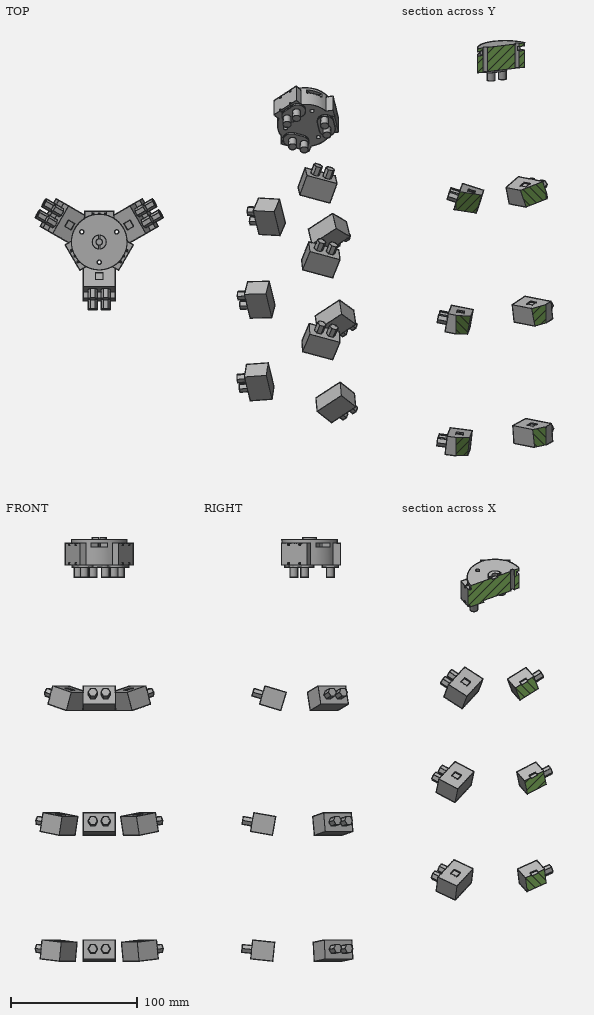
import cadquery as cq
import math

HUB_DIAMETER = 44.2
DISC_TOP_DROP = 1.6
PAD_TOP_DROP = 4.5
PAD_BOTTOM_DROP = 22.0
FLANGE_BOTTOM_DROP = 23.8
PLUG_BOTTOM_DROP = 31.75

BOSS_DIAMETER = 11.11
BOSS_BORE_DIAMETER = 5.08
BOSS_BORE_DEPTH = 3.0
BOSS_SLOT_WIDTH = 1.02

MOUNT_HOLE_DIAMETER = 3.17
MOUNT_HOLE_RADIUS = 16.0

PAD_WIDTH = 23.4
PAD_REACH = 24.6
SCREW_DIAMETER = 1.63
SCREW_PITCH = 10.16
SCREW_EDGE_DISTANCE = 1.27
SCREW_DEPTH = 2.0

NOTCH_HEIGHT = 3.3
NOTCH_INNER_WALL = 10.0
NOTCH_SIDE_WALL = 15.1

RIM_HOLE_DIAMETER = 1.52
RIM_HOLE_PITCH = 5.08
RIM_HOLE_COUNT = 3
RIM_HOLE_RADIUS = 22.4
RIM_HOLE_DEPTH = 1.27

PLUG_DIAMETER = 6.35
PLUG_PITCH = 9.8
PLUG_RADIUS = 16.5
FLANGE_WIDTH = 12.9
FLANGE_CENTRE_SPACING = 8.0
FLANGE_OFFSET = 2.0

PAD_ANGLES = (90, 210, 330)
BLOCK_ANGLES = (30, 150, 270)

BLOCK_WIDTH = 25.4
BLOCK_DEPTH = 17.78
BLOCK_HEIGHT = 15.24
PEG_SIDES = 6
PEG_ACROSS_FLATS = 6.35
PEG_PITCH = 10.16
PEG_LENGTH = 7.7
POCKET_SIDE = 5.85
POCKET_DEPTH = 1.02

TIERS = (
    (29.1, 127.6, 16.8),
    (36.85, 227.4, 9.9),
    (37.2, 327.88, 6.0),
)


def around_axis(shape, angle):
    """Turn a shape built on the +X side to the given angle about the hub axis."""
    return shape.rotate((0, 0, 0), (0, 0, 1), angle)


def make_pad():
    """Flat-faced pad, reaching from the hub axis out along +X."""
    height = PAD_BOTTOM_DROP - PAD_TOP_DROP
    return (
        cq.Workplane("XY", origin=(PAD_REACH / 2, 0, -PAD_BOTTOM_DROP))
        .rect(PAD_REACH, PAD_WIDTH)
        .extrude(height)
    )


def make_screw_holes():
    """Four blind holes in the outer face of a pad."""
    pad_middle = -(PAD_TOP_DROP + PAD_BOTTOM_DROP) / 2
    vertical_pitch = PAD_BOTTOM_DROP - PAD_TOP_DROP - 2 * SCREW_EDGE_DISTANCE
    return (
        cq.Workplane("YZ", origin=(PAD_REACH - SCREW_DEPTH, 0, pad_middle))
        .rect(SCREW_PITCH, vertical_pitch, forConstruction=True)
        .vertices()
        .circle(SCREW_DIAMETER / 2)
        .extrude(SCREW_DEPTH)
    )


def make_connector():
    """Round-ended flange with two round plugs, hanging below a pad."""
    flange = (
        cq.Workplane("XY", origin=(PLUG_RADIUS, FLANGE_OFFSET, -FLANGE_BOTTOM_DROP))
        .slot2D(FLANGE_CENTRE_SPACING + FLANGE_WIDTH, FLANGE_WIDTH, 90)
        .extrude(FLANGE_BOTTOM_DROP - PAD_BOTTOM_DROP)
    )
    plugs = (
        cq.Workplane("XY", origin=(PLUG_RADIUS, 0, -PLUG_BOTTOM_DROP))
        .pushPoints([(0, -PLUG_PITCH / 2), (0, PLUG_PITCH / 2)])
        .circle(PLUG_DIAMETER / 2)
        .extrude(PLUG_BOTTOM_DROP - PAD_BOTTOM_DROP)
    )
    return flange.union(plugs)


def make_notches():
    """Square-cornered notches in the round wall on both sides of a pad."""
    hub_radius = HUB_DIAMETER / 2
    size = (hub_radius - NOTCH_INNER_WALL, hub_radius - NOTCH_SIDE_WALL, NOTCH_HEIGHT)
    notch = (
        cq.Workplane("XY")
        .box(*size, centered=False)
        .translate((NOTCH_INNER_WALL, NOTCH_SIDE_WALL, -PAD_TOP_DROP - NOTCH_HEIGHT))
    )
    return notch.union(notch.mirror("XZ"))


def make_rim_holes():
    """Row of small upright blind holes in the pad top, beside the rim of the disc."""
    return (
        cq.Workplane("XY", origin=(RIM_HOLE_RADIUS, 0, -PAD_TOP_DROP - RIM_HOLE_DEPTH))
        .rarray(1, RIM_HOLE_PITCH, 1, RIM_HOLE_COUNT)
        .circle(RIM_HOLE_DIAMETER / 2)
        .extrude(RIM_HOLE_DEPTH)
    )


def make_mount_hole():
    """Upright hole through the whole hub."""
    return (
        cq.Workplane("XY", origin=(MOUNT_HOLE_RADIUS, 0, -FLANGE_BOTTOM_DROP))
        .circle(MOUNT_HOLE_DIAMETER / 2)
        .extrude(FLANGE_BOTTOM_DROP)
    )


def make_hub_core():
    """Round body with the centre boss on top."""
    body = (
        cq.Workplane("XY", origin=(0, 0, -PAD_BOTTOM_DROP))
        .circle(HUB_DIAMETER / 2)
        .extrude(PAD_BOTTOM_DROP - DISC_TOP_DROP)
    )
    boss = (
        cq.Workplane("XY", origin=(0, 0, -DISC_TOP_DROP))
        .circle(BOSS_DIAMETER / 2)
        .extrude(DISC_TOP_DROP)
    )
    return body.union(boss)


def make_boss_cuts():
    """Blind bore in the boss and the narrow slot across it."""
    bore = (
        cq.Workplane("XY", origin=(0, 0, -BOSS_BORE_DEPTH))
        .circle(BOSS_BORE_DIAMETER / 2)
        .extrude(BOSS_BORE_DEPTH)
    )
    slot = (
        cq.Workplane("XY", origin=(0, 0, -DISC_TOP_DROP))
        .rect(BOSS_SLOT_WIDTH, BOSS_DIAMETER)
        .extrude(DISC_TOP_DROP)
    )
    return bore.union(slot)


def make_hub():
    """Hub with three pads, each carrying a pair of plugs."""
    hub = make_hub_core()
    for angle in PAD_ANGLES:
        hub = hub.union(around_axis(make_pad(), angle))
        hub = hub.union(around_axis(make_connector(), angle))
        hub = hub.cut(around_axis(make_screw_holes(), angle))
        hub = hub.cut(around_axis(make_notches(), angle))
        hub = hub.cut(around_axis(make_rim_holes(), angle))
    for angle in BLOCK_ANGLES:
        hub = hub.cut(around_axis(make_mount_hole(), angle))
    return hub.cut(make_boss_cuts())


def make_block():
    """Sensor block centred on the origin, with its two hexagonal pegs pointing along +X."""
    block = cq.Workplane("XY").box(BLOCK_DEPTH, BLOCK_WIDTH, BLOCK_HEIGHT)
    across_corners = PEG_ACROSS_FLATS / math.cos(math.pi / PEG_SIDES)
    pegs = (
        cq.Workplane("YZ", origin=(BLOCK_DEPTH / 2, 0, 0))
        .pushPoints([(-PEG_PITCH / 2, 0), (PEG_PITCH / 2, 0)])
        .polygon(PEG_SIDES, across_corners)
        .extrude(PEG_LENGTH)
    )
    pocket = (
        cq.Workplane("XY", origin=(0, 0, BLOCK_HEIGHT / 2 - POCKET_DEPTH))
        .rect(POCKET_SIDE, POCKET_SIDE)
        .extrude(POCKET_DEPTH)
    )
    return block.union(pegs).cut(pocket)


def place_block(block, radius, drop, tilt, angle):
    """Tilt a block so its pegs point outward and up, then move it to its place in a tier."""
    tilted = block.rotate((0, 0, 0), (0, 1, 0), -tilt)
    return around_axis(tilted.translate((radius, 0, -drop)), angle)


hub = make_hub()
sensor_block = make_block()
sensor_blocks = [
    place_block(sensor_block, *tier, angle)
    for tier in TIERS
    for angle in BLOCK_ANGLES
]

result = cq.Compound.makeCompound([hub.val(), *[block.val() for block in sensor_blocks]])